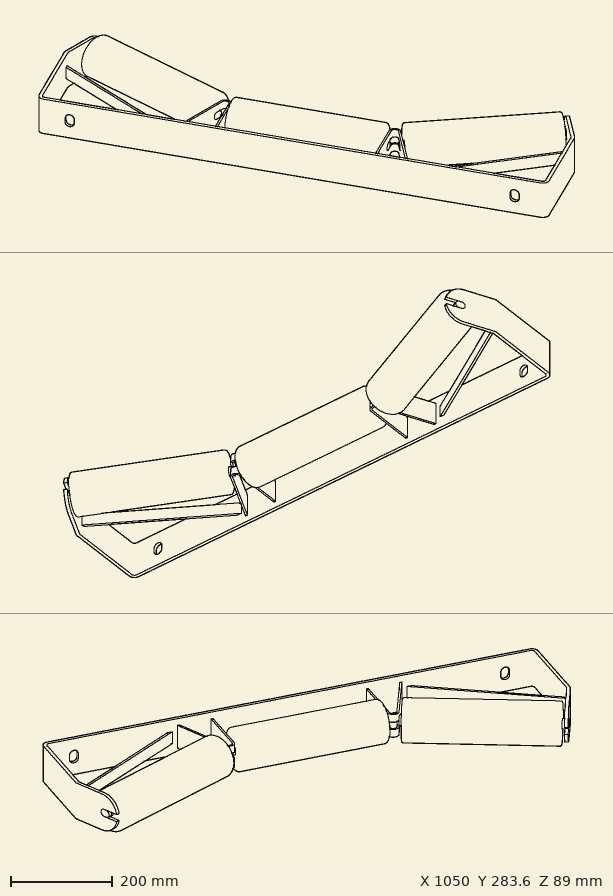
import cadquery as cq
import math

frame_length = 1050.0
strip_width = 80.0
frame_thickness = 7.0
frame_bend_radius = 14.0
trough_angle = 25.0
ear_length = 109.0

mount_hole_x = 458.0
mount_hole_width = 19.0
mount_hole_height = 27.0

roller_length = 315.0
roller_diameter = 89.0
roller_edge_radius = 4.0
shaft_diameter = 21.0
tongue_width = 16.0
roller_gap = 5.0
center_roller_y = 101.0
wing_roller_x = 338.0
wing_roller_y = 178.0

bracket_thickness = 4.0
bracket_width = 50.0
bracket_top_y = 128.0

brace_thickness = 5.0
brace_width = 26.0
brace_wall_y = 169.0
brace_base_x = 254.0

half_length = frame_length / 2
half_width = strip_width / 2
lean = math.radians(trough_angle)
axis_x = math.cos(lean)
axis_y = math.sin(lean)
support_reach = roller_length / 2 + roller_gap
ear_outer_reach = support_reach + frame_thickness
bend_height = wing_roller_y + (ear_outer_reach - (half_length - wing_roller_x) * axis_x) / axis_y
tip_x = half_length - ear_length * axis_y
tip_y = bend_height + ear_length * axis_x
cut_depth = 21.0
slot_cut_length = 105.0
sides = (-1, 1)


def leaning_plane(distance):
    """Plane on the right wing roller axis: normal along the axis, local Y up the support."""
    origin = (wing_roller_x + distance * axis_x, wing_roller_y + distance * axis_y, 0)
    return cq.Plane(origin=origin, xDir=(0, 0, -1), normal=(axis_x, axis_y, 0))


def upright_plane(distance):
    """Plane on the center roller axis: normal along X, local Y along Y."""
    origin = (distance, center_roller_y, 0)
    return cq.Plane(origin=origin, xDir=(0, 0, -1), normal=(1, 0, 0))


def shaft_slot(plane):
    """Slot along the plane's local Y, its round bottom matching the shaft tongue."""
    half_slot = tongue_width / 2
    bottom_y = -shaft_diameter / 2
    corner_y = bottom_y + half_slot
    return (
        cq.Workplane(plane)
        .moveTo(-half_slot, slot_cut_length)
        .lineTo(-half_slot, corner_y)
        .threePointArc((0, bottom_y), (half_slot, corner_y))
        .lineTo(half_slot, slot_cut_length)
        .close()
        .extrude(cut_depth, both=True)
    )


def mirrored(body):
    return body.mirror("YZ")


def ear_corners():
    """Solid of the corners outside the round tip; cutting it away rounds the right ear."""
    plane = cq.Plane(origin=(tip_x, tip_y, 0), xDir=(0, 0, -1), normal=(axis_x, axis_y, 0))
    return (
        cq.Workplane(plane)
        .moveTo(-half_width, 0)
        .lineTo(-half_width, -half_width)
        .threePointArc((0, 0), (half_width, -half_width))
        .lineTo(half_width, 0)
        .close()
        .extrude(cut_depth, both=True)
    )


def make_frame():
    inner_x = half_length - frame_thickness
    inner_bend_y = bend_height - frame_thickness * math.tan(lean / 2)
    inner_tip_x = tip_x - frame_thickness * axis_x
    inner_tip_y = tip_y - frame_thickness * axis_y
    right_outer = [(half_length, 0), (half_length, bend_height), (tip_x, tip_y)]
    right_inner = [(inner_tip_x, inner_tip_y), (inner_x, inner_bend_y), (inner_x, frame_thickness)]
    right_side = right_outer + right_inner
    left_side = [(-x, y) for x, y in reversed(right_side)]
    frame = (
        cq.Workplane("XY").polyline(right_side + left_side).close()
        .extrude(half_width, both=True)
    )

    inner_radius = frame_bend_radius - frame_thickness
    outer_bends = [(half_length, 0), (half_length, bend_height)]
    inner_bends = [(inner_x, frame_thickness), (inner_x, inner_bend_y)]
    for bends, radius in ((outer_bends, frame_bend_radius), (inner_bends, inner_radius)):
        for x, y in bends:
            for side in sides:
                corner = cq.selectors.NearestToPointSelector((side * x, y, 0))
                frame = frame.edges(corner).fillet(radius)

    ear_slot = shaft_slot(leaning_plane(support_reach))
    for cutter in (ear_corners(), ear_slot):
        frame = frame.cut(cutter).cut(mirrored(cutter))

    mount_holes = (
        cq.Workplane("XZ")
        .pushPoints([(side * mount_hole_x, 0) for side in sides])
        .slot2D(mount_hole_height, mount_hole_width, 90)
        .extrude(-frame_thickness)
    )
    return frame.cut(mount_holes)


def make_bracket():
    """Right bracket: an upright leg and a leaning leg joined by a round bend at the top."""
    upright_outer_x = support_reach
    lean_face_x = wing_roller_x - support_reach * axis_x
    lean_face_y = wing_roller_y - support_reach * axis_y
    lean_line = lean_face_x * axis_x + lean_face_y * axis_y
    bend_radius = (
        (lean_line - upright_outer_x * axis_x - bracket_top_y * axis_y) / (1 + axis_x - axis_y)
    )
    bend_x = upright_outer_x + bend_radius
    bend_y = bracket_top_y - bend_radius

    def leg_end(radius):
        """Foot of the leaning leg on the base, at a given offset from the bend axis."""
        along = (bend_y + radius * axis_y - frame_thickness) / axis_x
        return (bend_x + radius * axis_x + along * axis_y, frame_thickness)

    def lean_tangent(radius):
        return (bend_x + radius * axis_x, bend_y + radius * axis_y)

    inner_radius = bend_radius - bracket_thickness
    bracket = (
        cq.Workplane("XY")
        .moveTo(bend_x - bend_radius, frame_thickness)
        .lineTo(bend_x - bend_radius, bend_y)
        .threePointArc((bend_x, bend_y + bend_radius), lean_tangent(bend_radius))
        .lineTo(*leg_end(bend_radius))
        .lineTo(*leg_end(inner_radius))
        .lineTo(*lean_tangent(inner_radius))
        .threePointArc((bend_x, bend_y + inner_radius), (bend_x - inner_radius, bend_y))
        .lineTo(bend_x - inner_radius, frame_thickness)
        .close()
        .extrude(bracket_width / 2, both=True)
    )
    upright_slot = shaft_slot(upright_plane(support_reach))
    lean_slot = shaft_slot(leaning_plane(-support_reach))
    return bracket.cut(upright_slot).cut(lean_slot)


def make_brace():
    wall_x = half_length - frame_thickness
    run = wall_x - brace_base_x
    rise = brace_wall_y - frame_thickness
    slope_length = math.hypot(run, rise)
    half_at_wall = brace_thickness / 2 * slope_length / run
    half_at_base = brace_thickness / 2 * slope_length / rise
    return (
        cq.Workplane("XY")
        .polyline([
            (brace_base_x - half_at_base, frame_thickness),
            (brace_base_x + half_at_base, frame_thickness),
            (wall_x, brace_wall_y - half_at_wall),
            (wall_x, brace_wall_y + half_at_wall),
        ])
        .close()
        .extrude(brace_width / 2, both=True)
    )


def shaft_end(support_thickness):
    """Shaft stub at the +X end of a roller: round in the gap, a tongue inside the support."""
    stub = (
        cq.Workplane("YZ", origin=(roller_length / 2, 0, 0))
        .circle(shaft_diameter / 2)
        .extrude(roller_gap)
    )
    tongue = (
        cq.Workplane("YZ", origin=(support_reach, 0, 0))
        .slot2D(shaft_diameter, tongue_width)
        .extrude(support_thickness)
    )
    return stub.union(tongue)


def make_roller(left_support, right_support):
    """Roller along X, centered on the origin."""
    drum = (
        cq.Workplane("YZ", origin=(-roller_length / 2, 0, 0))
        .circle(roller_diameter / 2)
        .extrude(roller_length)
        .edges("%CIRCLE")
        .fillet(roller_edge_radius)
    )
    return drum.union(shaft_end(right_support)).union(mirrored(shaft_end(left_support)))


frame = make_frame()

right_bracket = make_bracket()
brackets = [right_bracket, mirrored(right_bracket)]

right_brace = make_brace()
braces = [right_brace, mirrored(right_brace)]

center_roller = make_roller(bracket_thickness, bracket_thickness).translate((0, center_roller_y, 0))
right_wing_roller = (
    make_roller(bracket_thickness, frame_thickness)
    .rotate((0, 0, 0), (0, 0, 1), trough_angle)
    .translate((wing_roller_x, wing_roller_y, 0))
)
rollers = [center_roller, right_wing_roller, mirrored(right_wing_roller)]

bodies = [frame, *brackets, *braces, *rollers]
result = cq.Compound.makeCompound([body.val() for body in bodies])